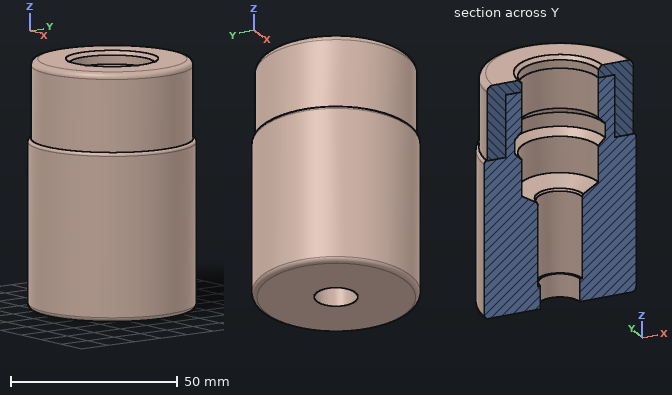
import cadquery as cq

height = 76.2
base_radius = 25.41
cap_radius = 24.45
cap_length = 24.4
shoulder_height = height - cap_length

top_round = 2.0
bottom_round = 1.5
shoulder_round = base_radius - cap_radius

bore_radius = 12.7
bore_chamfer = 1.2
throat_depth = 17.1
flare = 2.3
groove_radius = bore_radius + flare
throat_bottom = height - throat_depth
groove_length = 9.15
groove_bottom = throat_bottom - groove_length
cone_top = 38.1
cone_depth = 3.0
cone_bottom = cone_top - cone_depth
neck_radius = 7.7
neck_taper_length = 0.8
lower_neck_radius = 7.3
outlet_radius = 6.55
outlet_length = 7.6

spigot_radius = 18.3
cap_lip = 4.0
spigot_top = height - cap_lip


def cylinder(radius, bottom, top):
    return cq.Workplane("XY").workplane(offset=bottom).circle(radius).extrude(top - bottom)


def make_bore():
    """Bore with an internal groove that narrows through a cone to a neck and a smaller outlet."""
    profile = (
        cq.Workplane("XZ")
        .lineTo(outlet_radius, 0)
        .lineTo(outlet_radius, outlet_length)
        .lineTo(lower_neck_radius, outlet_length)
        .lineTo(lower_neck_radius, cone_bottom - neck_taper_length)
        .lineTo(neck_radius, cone_bottom)
        .lineTo(bore_radius, cone_top)
        .lineTo(bore_radius, groove_bottom)
        .lineTo(groove_radius, groove_bottom + flare)
        .lineTo(groove_radius, throat_bottom - flare)
        .lineTo(bore_radius, throat_bottom)
        .lineTo(bore_radius, height - bore_chamfer)
        .lineTo(bore_radius + bore_chamfer, height)
        .lineTo(0, height)
        .close()
    )
    return profile.revolve(360, (0, 0, 0), (0, 1, 0))


def make_base():
    """Rounded cylinder with a hollow spigot that carries the cap."""
    barrel = cylinder(base_radius, 0, shoulder_height)
    barrel = barrel.faces(">Z").edges().fillet(shoulder_round)
    barrel = barrel.faces("<Z").edges().fillet(bottom_round)
    spigot = cylinder(spigot_radius, shoulder_height, spigot_top)
    return barrel.union(spigot).cut(make_bore())


def make_cap():
    """Round-edged cap with a socket for the spigot and an open lip."""
    cap = cylinder(cap_radius, shoulder_height, height)
    cap = cap.faces(">Z").edges().fillet(top_round)
    socket = cylinder(spigot_radius, shoulder_height, spigot_top)
    return cap.cut(socket).cut(make_bore())


base = make_base()
cap = make_cap()
result = cq.Compound.makeCompound([base.val(), cap.val()])